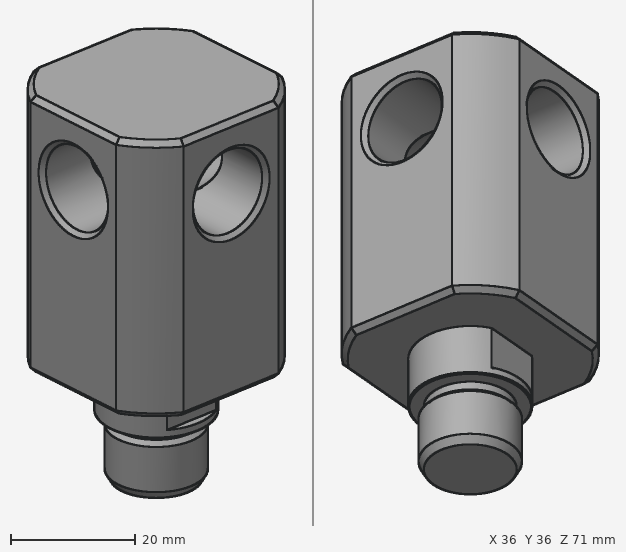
import cadquery as cq

total_height = 71.0

body_width = 36.0
corner_diameter = 41.45
body_bottom = 21.0
body_chamfer = 1.0

port_diameter = 15.0
port_mouth_diameter = 16.7
port_depth_from_top = 13.0
port_height = total_height - port_depth_from_top

collar_diameter = 20.0
collar_bottom = 12.0
collar_chamfer = 0.2
flats_width = 17.0
flats_length = 7.5
flats_bottom = body_bottom - flats_length

stud_diameter = 16.7
groove_diameter = 15.0
groove_bottom = 10.5
stud_tip_diameter = 15.0
stud_tip_chamfer_height = 1.5


def make_body():
    height = total_height - body_bottom
    block = cq.Workplane("XY").workplane(offset=body_bottom).rect(body_width, body_width).extrude(height)
    turned = cq.Workplane("XY").workplane(offset=body_bottom).circle(corner_diameter / 2).extrude(height)
    return block.intersect(turned).faces("<Z or >Z").chamfer(body_chamfer)


def make_collar():
    collar = (
        cq.Workplane("XY")
        .workplane(offset=collar_bottom)
        .circle(collar_diameter / 2)
        .extrude(body_bottom - collar_bottom)
        .faces("<Z")
        .chamfer(collar_chamfer)
    )
    flat_depth = (collar_diameter - flats_width) / 2
    for side in (-1, 1):
        flat_cut = (
            cq.Workplane("XY")
            .workplane(offset=flats_bottom)
            .center(side * (flats_width + flat_depth) / 2, 0)
            .rect(flat_depth, collar_diameter)
            .extrude(flats_length)
        )
        collar = collar.cut(flat_cut)
    return collar


def make_stud():
    stud_radius = stud_diameter / 2
    groove_radius = groove_diameter / 2
    shoulder_top = groove_bottom - (stud_radius - groove_radius)
    return (
        cq.Workplane("XZ")
        .lineTo(stud_tip_diameter / 2, 0)
        .lineTo(stud_radius, stud_tip_chamfer_height)
        .lineTo(stud_radius, shoulder_top)
        .lineTo(groove_radius, groove_bottom)
        .lineTo(groove_radius, collar_bottom)
        .lineTo(0, collar_bottom)
        .close()
        .revolve(360, (0, 0, 0), (0, 1, 0))
    )


def make_port():
    """Bore along Y through the whole body, with a 45 degree countersink at both mouths."""
    half_length = body_width / 2
    bore_radius = port_diameter / 2
    mouth_radius = port_mouth_diameter / 2
    countersink_depth = mouth_radius - bore_radius
    return (
        cq.Workplane("XY")
        .moveTo(0, -half_length)
        .lineTo(mouth_radius, -half_length)
        .lineTo(bore_radius, countersink_depth - half_length)
        .lineTo(bore_radius, half_length - countersink_depth)
        .lineTo(mouth_radius, half_length)
        .lineTo(0, half_length)
        .close()
        .revolve(360, (0, 0, 0), (0, 1, 0))
        .translate((0, 0, port_height))
    )


result = make_body().union(make_collar()).union(make_stud())
for angle in (0, 90):
    result = result.cut(make_port().rotate((0, 0, 0), (0, 0, 1), angle))